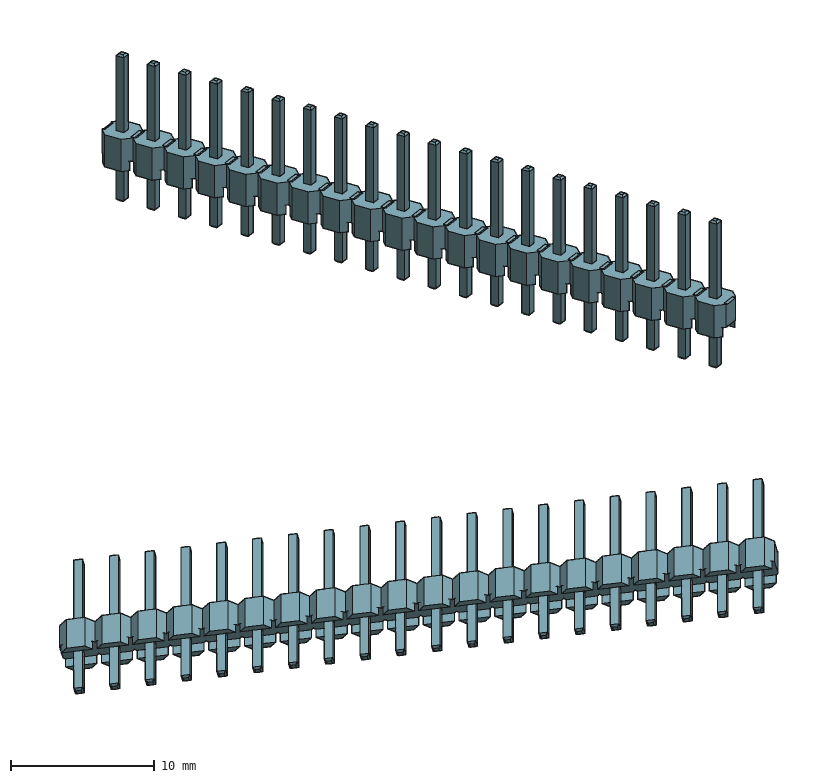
import cadquery as cq

pin_count = 20
row_length = 50.8
pitch = row_length / pin_count

body_width = 2.55
body_height = 2.55
corner_chamfer = 0.6
channel_width = 1.65
channel_height = 0.7
notch_reach = 0.2
notch_depth = 0.075
notch_width = 1.1

pin_size = pitch / 4
pin_length = 11.6
pin_below = 3.0
tip_chamfer = 0.14

pin_positions = [((index - (pin_count - 1) / 2) * pitch, 0) for index in range(pin_count)]
joint_positions = [((index - pin_count / 2) * pitch, 0) for index in range(pin_count + 1)]


def housing_cell():
    """Octagonal block around one pin, standing on z = 0."""
    block = cq.Workplane("XY").box(pitch, body_width, body_height, centered=(True, True, False))
    return block.edges("|Z").chamfer(corner_chamfer)


def pin():
    """Square pin with both tips chamfered."""
    bar = cq.Workplane("XY").box(pin_size, pin_size, pin_length, centered=(True, True, False))
    return bar.faces("<Z or >Z").edges().chamfer(tip_chamfer).translate((0, 0, -pin_below))


def place_at(shape, positions):
    """Copies of a shape at every position, joined together."""
    solid = shape.val()
    return (
        cq.Workplane("XY")
        .pushPoints(positions)
        .eachpoint(lambda location: solid.moved(location), combine=False)
        .combine()
    )


def bottom_channel():
    """Channel along the whole underside of the housing."""
    return cq.Workplane("XY").box(
        row_length, channel_width, channel_height, centered=(True, True, False)
    )


def joint_notch():
    """Shallow V-groove across the top of the neck between two cells."""
    return (
        cq.Workplane("XZ")
        .moveTo(-notch_reach, body_height)
        .lineTo(0, body_height - notch_depth)
        .lineTo(notch_reach, body_height)
        .close()
        .extrude(notch_width / 2, both=True)
    )


housing = place_at(housing_cell(), pin_positions)
housing = housing.cut(bottom_channel())
housing = housing.cut(place_at(joint_notch(), joint_positions))

result = housing.union(place_at(pin(), pin_positions))